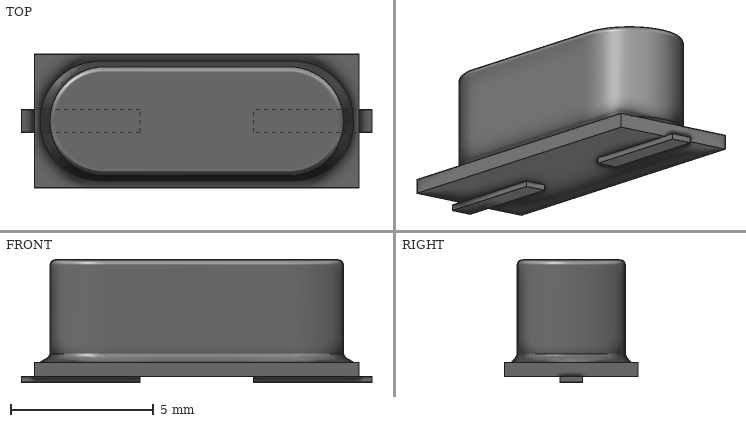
import cadquery as cq

total_length = 12.3
total_height = 4.3

base_length = 11.4
base_width = 4.7
base_thickness = 0.5

lead_width = 0.8
lead_thickness = 0.2
lead_gap = 4.0
lead_length = (total_length - lead_gap) / 2
lead_center_x = (lead_gap + lead_length) / 2

can_length = 10.3
can_width = 3.8
can_top_radius = 0.2

foot_length = 11.0
foot_width = 4.2
foot_height = 0.3
foot_mid_spread = 0.27

base_bottom_z = lead_thickness
base_top_z = base_bottom_z + base_thickness
foot_top_z = base_top_z + foot_height


def make_lead(side):
    """Flat strip under the base; side is -1 or +1 along X."""
    return (
        cq.Workplane("XY")
        .center(side * lead_center_x, 0)
        .rect(lead_length, lead_width)
        .extrude(lead_thickness)
    )


def make_base():
    return (
        cq.Workplane("XY")
        .workplane(offset=base_bottom_z)
        .rect(base_length, base_width)
        .extrude(base_thickness)
    )


def foot_section(spread):
    """Size of the foot outline: spread 0 is the can wall, 1 is the widest outline."""
    length = can_length + spread * (foot_length - can_length)
    width = can_width + spread * (foot_width - can_width)
    return length, width


def make_foot():
    """Concave flare, lofted smoothly through three rounded-end outlines."""
    return (
        cq.Workplane("XY")
        .workplane(offset=base_top_z)
        .slot2D(*foot_section(1))
        .workplane(offset=foot_height / 2)
        .slot2D(*foot_section(foot_mid_spread))
        .workplane(offset=foot_height / 2)
        .slot2D(*foot_section(0))
        .loft(ruled=False)
    )


def make_can():
    """Rounded-end can with a softened top edge, standing on its flared foot."""
    wall = (
        cq.Workplane("XY")
        .workplane(offset=foot_top_z)
        .slot2D(can_length, can_width)
        .extrude(total_height - foot_top_z)
        .faces(">Z")
        .edges()
        .fillet(can_top_radius)
    )
    return wall.union(make_foot()).solids()


can = make_can()
base = make_base()
leads = [make_lead(side) for side in (-1, 1)]

result = cq.Compound.makeCompound([can.val(), base.val(), *[lead.val() for lead in leads]])